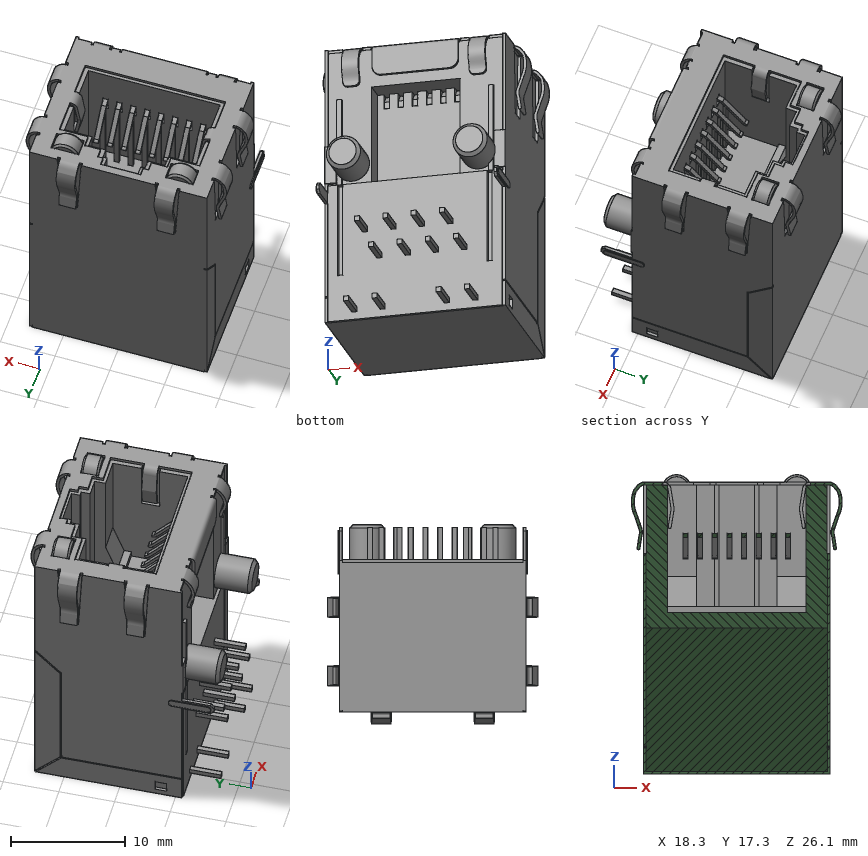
import cadquery as cq


HALF_WIDTH = 8.13
DEPTH = 13.0
HEIGHT = 25.4
SHEET = 0.25
INNER_HALF = HALF_WIDTH - SHEET
INNER_BACK = DEPTH - SHEET
INNER_TOP = HEIGHT - SHEET
SIDE_WALL_FRONT = -0.18
FRONT_FACE = -0.29
SPLIT_Z = 12.69
PIN_TIP = -3.07
SIDES = (-1, 1)

SHIELD_OPENING = [(6.4, 2.55), (6.4, 9.85), (3.78, 9.85), (3.78, 10.84),
                  (2.32, 10.84), (2.32, 11.65), (1.82, 11.65), (1.82, 12.35)]
SPRING_MID = HEIGHT - SHEET / 2
SPRING_ROOT_WIDTH = 1.77
SPRING_TIP_WIDTH = 1.5
SPRING_TIP_Z = 19.5
SPRING_REACH = 1.3
SIDE_SPRING_Y = (3.88, 9.85)
BACK_SPRING_X = 4.48
FRONT_SPRING_X = 5.7
FRONT_SPRING_WIDTH = 1.5
FRONT_SPRING_TIP = 21.73
TIP_ROUND = 0.47
SLOT_TOP_WIDTH = 2.15
SLOT_BOTTOM_WIDTH = 1.5
SLOT_BOTTOM = 19.17
RELIEF = 0.23
FRONT_BEND_Y = 0.1
FRONT_RELIEF = 0.15
INNER_SPRING_WIDTH = 1.3
INNER_SPRING_Y = 6.17
INNER_BEND = 0.57
FLAP_HALF = 3.88
FLAP_BOTTOM = 22.65
FLAP_ROUND = 0.83
TAB_INNER = 7.1
TAB_BOTTOM, TAB_TOP = 12.92, 16.35
LEG_Z = 11.57
LEG_WIDTH = 1.0
LEG_TIP_CHAMFER = 0.3
BEAD_WIDTH = 0.65
BEAD_BACK, BEAD_FRONT = 1.0, -2.81
BEAD_HEIGHT = 0.1
SEAM_GAP = 0.13
SEAM_Y = 10.65
SEAM_Z = 2.35
SEAM_SHOULDER = 12.75
SEAM_TOP = 15.0
LATCH_HOLE_Y, LATCH_HOLE_Z = 1.7, 0.96
LATCH_HOLE_LENGTH, LATCH_HOLE_HEIGHT = 1.05, 0.9

CAVITY = [(6.02, 2.85), (6.02, 9.55), (3.5, 9.55), (3.5, 10.55),
          (1.93, 10.55), (1.93, 11.35), (1.54, 11.35), (1.54, 12.15)]
CAVITY_HALF, CAVITY_FRONT = CAVITY[0]
KEYWAY_HALF, SHOULDER_Y = CAVITY[2]
SPRING_POCKET_WIDTH = 1.62
SPRING_POCKET_BOTTOM = 20.85
CAVITY_FLOOR = 14.07
LEDGE_Y = 7.9
LEDGE_HEIGHT = 0.52
RAMP_FOOT_Y = 8.55
RAMP_TOP = 17.2
WINDOW_HALF = 3.99
WINDOW_TOP = 21.65
WINDOW_DEPTH = 2.08
GAP_TOP = 13.55
GAP_DEPTH = 3.65
NOTCH_WIDTH = 0.5
NOTCH_BOTTOM = 20.35
POST_X, POST_Z = 5.7, 14.55
POST_RADIUS = 1.54
POST_TIP = -3.3
POST_CHAMFER = 0.3
RIB_INNER, RIB_OUTER = 6.62, 7.05
RIB_TOP = 20.65
LENS_X, LENS_Y = 5.24, 11.15
LENS_RADIUS = 1.25
LENS_LENGTH = 1.6
LENS_TOP = 26.05
LENS_CHAMFER = 0.18

GUIDE_INNER, GUIDE_OUTER = 6.5, 6.95
GUIDE_BOTTOM = 4.25
GUIDE_DEPTH = 0.52
WIRE_WIDTH = 0.45
WIRE_THICK = 0.25
PITCH = 1.28
CONTACTS = 8
CONTACT_X = [(i - (CONTACTS - 1) / 2) * PITCH for i in range(CONTACTS)]
CONTACT_LEG_TOP = 20.7
PIN_ROWS = [(8.28, [-3.5 * PITCH, -1.5 * PITCH, 0.5 * PITCH, 2.5 * PITCH]),
            (5.73, [-2.5 * PITCH, -0.5 * PITCH, 1.5 * PITCH, 3.5 * PITCH]),
            (0.9, [-5.45, -2.9, 2.9, 5.45])]


def block(x0, x1, y0, y1, z0, z1):
    """Box between two limits along each axis, given in either order."""
    size = (abs(x1 - x0), abs(y1 - y0), abs(z1 - z0))
    middle = ((x0 + x1) / 2, (y0 + y1) / 2, (z0 + z1) / 2)
    return cq.Workplane("XY").box(*size).translate(middle)


def both_sides(shape):
    """Shape together with its mirror image across X = 0."""
    return shape.union(shape.mirror("YZ"))


def opening_prism(half_outline, bottom, top):
    """Prism over a symmetric outline given by its right half."""
    left = [(-x, y) for x, y in reversed(half_outline)]
    outline = cq.Workplane("XY", origin=(0, 0, bottom)).polyline(half_outline + left).close()
    return outline.extrude(top - bottom)


def strip(path, width):
    """Sheet strip of the given width centred on Y = 0, following a path in the XZ plane."""
    return path.offset2D(SHEET / 2).extrude(width / 2, both=True)


def taper(top_width, bottom_width, bottom, x0, x1):
    """Block along X whose width in Y narrows from the top of the shield down."""
    outline = [(-top_width / 2, HEIGHT), (top_width / 2, HEIGHT),
               (bottom_width / 2, bottom), (-bottom_width / 2, bottom)]
    prism = cq.Workplane("YZ", origin=(x0, 0, 0)).polyline(outline).close()
    return prism.extrude(x1 - x0)



def outer_spring():
    """Side or back spring: bulges out, returns to the wall and ends in an outward lip."""
    path = (
        cq.Workplane("XZ")
        .moveTo(0, SPRING_MID)
        .threePointArc((0.29, 25.15), (0.5, 24.93))
        .lineTo(0.73, 24.65)
        .threePointArc((0.9, 23.7), (0.65, 22.5))
        .lineTo(0.3, 21.52)
        .threePointArc((0.2, 21.1), (0.25, 20.68))
        .lineTo(0.42, SPRING_TIP_Z + SHEET / 2)
    )
    sides = taper(SPRING_ROOT_WIDTH, SPRING_TIP_WIDTH, SPRING_TIP_Z, -SHEET, SPRING_REACH)
    return strip(path, SPRING_ROOT_WIDTH).intersect(sides)


def front_spring():
    """Short spring: bulges out and returns to the front, with a rounded tip."""
    path = (
        cq.Workplane("XZ")
        .moveTo(-FRONT_BEND_Y, SPRING_MID)
        .threePointArc((0.73, 24.12), (0.57, 22.82))
        .threePointArc((0.42, 22.35), (0.42, FRONT_SPRING_TIP))
    )
    half_width = FRONT_SPRING_WIDTH / 2
    outline = block(-SHEET, SPRING_REACH, -half_width, half_width, FRONT_SPRING_TIP, HEIGHT)
    outline = outline.edges("|X and <Z").fillet(TIP_ROUND)
    below_plate = block(-SHEET, 0, -half_width, half_width, FRONT_SPRING_TIP, INNER_TOP)
    return strip(path, FRONT_SPRING_WIDTH).intersect(outline).cut(below_plate)


def inner_spring():
    """Spring on the +X edge of the plug opening, reaching down into the cavity."""
    edge_x = SHIELD_OPENING[0][0]
    path = (
        cq.Workplane("XZ")
        .moveTo(edge_x, SPRING_MID)
        .radiusArc((edge_x - INNER_BEND, SPRING_MID - INNER_BEND), -INNER_BEND)
        .lineTo(5.57, 23.05)
        .lineTo(5.84, 21.5)
    )
    return strip(path, INNER_SPRING_WIDTH).translate((0, INNER_SPRING_Y, 0))


def reliefs(root_width, relief_width):
    """Cutters for the two bend reliefs of a root that is root_width wide."""
    first = root_width / 2
    right = block(-RELIEF, 0, first, first + relief_width, INNER_TOP, HEIGHT)
    return right.union(right.mirror("XZ"))


def front_root(root_width):
    """Cutter for a front bend: the sheet ahead of the bend line, and the reliefs."""
    ahead = block(-FRONT_BEND_Y, 0, -root_width / 2, root_width / 2, INNER_TOP, HEIGHT)
    return ahead.union(reliefs(root_width, FRONT_RELIEF))


def placed(shape, x, y, turn):
    """Shape turned about Z so that +X points outward, then moved to its wall."""
    return shape.rotate((0, 0, 0), (0, 0, 1), turn).translate((x, y, 0))


def outer_spring_places():
    sides = [(side * HALF_WIDTH, y, 0 if side > 0 else 180) for side in SIDES for y in SIDE_SPRING_Y]
    back = [(side * BACK_SPRING_X, DEPTH, 90) for side in SIDES]
    return sides + back


def front_spring_places():
    return [(side * FRONT_SPRING_X, 0, -90) for side in SIDES]


def flap():
    """Rounded flap bent down from the front edge of the top plate."""
    outer_radius = FRONT_BEND_Y - FRONT_FACE
    inner_radius = outer_radius - SHEET
    bend_z = HEIGHT - outer_radius
    section = (
        cq.Workplane("YZ")
        .moveTo(FRONT_BEND_Y, HEIGHT)
        .radiusArc((FRONT_FACE, bend_z), -outer_radius)
        .lineTo(FRONT_FACE, FLAP_BOTTOM)
        .lineTo(FRONT_FACE + SHEET, FLAP_BOTTOM)
        .lineTo(FRONT_FACE + SHEET, bend_z)
        .radiusArc((FRONT_BEND_Y, INNER_TOP), inner_radius)
        .close()
        .extrude(FLAP_HALF, both=True)
    )
    return section.edges("|Y and <Z").fillet(FLAP_ROUND)


def front_tab():
    """Tab bent from the +X wall across the front of the housing, cut away around the post."""
    tab = block(TAB_INNER, HALF_WIDTH, FRONT_FACE, 0, TAB_BOTTOM, TAB_TOP)
    return tab.cut(locating_post())


def ground_leg():
    """Solder leg of the +X wall with its raised bead."""
    leg = block(INNER_HALF, HALF_WIDTH, PIN_TIP, 0, LEG_Z - LEG_WIDTH / 2, LEG_Z + LEG_WIDTH / 2)
    leg = leg.edges("|X and <Y").chamfer(LEG_TIP_CHAMFER)
    bead = (
        cq.Workplane("YZ", origin=(INNER_HALF, (BEAD_BACK + BEAD_FRONT) / 2, LEG_Z))
        .slot2D(BEAD_BACK - BEAD_FRONT, BEAD_WIDTH)
        .extrude(SHEET + BEAD_HEIGHT)
    )
    return leg.union(bead)


def wall_seams():
    """Cutter for the narrow gaps between the +X wall and the side flaps of the back and bottom."""
    plane = cq.Workplane("YZ", origin=(INNER_HALF, 0, 0))
    back_seam = plane.polyline([(DEPTH, SEAM_TOP), (SEAM_Y, SEAM_SHOULDER), (SEAM_Y, SEAM_Z), (DEPTH, 0)])
    back_seam = back_seam.wire().offset2D(SEAM_GAP / 2).extrude(SHEET)
    bottom_seam = block(INNER_HALF, HALF_WIDTH, SIDE_WALL_FRONT, SEAM_Y,
                        SEAM_Z - SEAM_GAP / 2, SEAM_Z + SEAM_GAP / 2)
    return back_seam.union(bottom_seam)


def latch_hole():
    return block(INNER_HALF, HALF_WIDTH,
                 LATCH_HOLE_Y - LATCH_HOLE_LENGTH / 2, LATCH_HOLE_Y + LATCH_HOLE_LENGTH / 2,
                 LATCH_HOLE_Z - LATCH_HOLE_HEIGHT / 2, LATCH_HOLE_Z + LATCH_HOLE_HEIGHT / 2)


def make_shield():
    shield = block(-HALF_WIDTH, HALF_WIDTH, 0, DEPTH, 0, HEIGHT)
    shield = shield.cut(block(-INNER_HALF, INNER_HALF, 0, INNER_BACK, SHEET, INNER_TOP))
    wall_front = block(INNER_HALF, HALF_WIDTH, SIDE_WALL_FRONT, 0, 0, HEIGHT)
    shield = shield.union(both_sides(wall_front))

    shield = shield.cut(opening_prism(SHIELD_OPENING, INNER_TOP, HEIGHT))
    lens_hole = block(LENS_X - LENS_RADIUS, LENS_X + LENS_RADIUS,
                      LENS_Y - LENS_LENGTH / 2, LENS_Y + LENS_LENGTH / 2, INNER_TOP, HEIGHT)
    shield = shield.cut(both_sides(lens_hole))
    shield = shield.cut(both_sides(wall_seams().union(latch_hole())))

    slot = taper(SLOT_TOP_WIDTH, SLOT_BOTTOM_WIDTH, SLOT_BOTTOM, -SHEET, 0)
    slot = slot.cut(block(-SHEET, 0, -SLOT_TOP_WIDTH, SLOT_TOP_WIDTH, INNER_TOP, HEIGHT))
    slot = slot.union(reliefs(SPRING_ROOT_WIDTH, RELIEF))
    for place in outer_spring_places():
        shield = shield.cut(placed(slot, *place)).union(placed(outer_spring(), *place))
    for place in front_spring_places():
        shield = shield.cut(placed(front_root(FRONT_SPRING_WIDTH), *place))
        shield = shield.union(placed(front_spring(), *place))
    shield = shield.cut(placed(front_root(2 * FLAP_HALF), 0, 0, -90)).union(flap())

    for feature in (inner_spring(), front_tab(), ground_leg()):
        shield = shield.union(both_sides(feature))
    return shield


def shoulder_ramp():
    """Ramp at the foot of the +X shoulder of the cavity."""
    foot = CAVITY_FLOOR + LEDGE_HEIGHT
    outline = [(SHOULDER_Y, RAMP_TOP), (RAMP_FOOT_Y, foot), (SHOULDER_Y, foot)]
    ramp = cq.Workplane("YZ", origin=(KEYWAY_HALF, 0, 0)).polyline(outline).close()
    return ramp.extrude(CAVITY_HALF - KEYWAY_HALF)


def locating_post():
    post = cq.Workplane("XZ", origin=(POST_X, 0, POST_Z)).circle(POST_RADIUS).extrude(-POST_TIP)
    return post.faces("<Y").chamfer(POST_CHAMFER)


def lens():
    """Indicator lens: a cylinder along Y, half sunk into the housing."""
    cylinder = cq.Workplane("XZ", origin=(LENS_X, LENS_Y, LENS_TOP - LENS_RADIUS)).circle(LENS_RADIUS)
    return cylinder.extrude(LENS_LENGTH / 2, both=True).faces("<Y or >Y").chamfer(LENS_CHAMFER)


def make_housing():
    housing = block(-INNER_HALF, INNER_HALF, 0, INNER_BACK, SPLIT_Z, INNER_TOP)
    housing = housing.union(both_sides(lens()))
    housing = housing.cut(opening_prism(CAVITY, CAVITY_FLOOR, INNER_TOP))
    ledge = opening_prism(CAVITY, CAVITY_FLOOR, CAVITY_FLOOR + LEDGE_HEIGHT)
    ledge = ledge.intersect(block(-INNER_HALF, INNER_HALF, LEDGE_Y, INNER_BACK, SPLIT_Z, INNER_TOP))
    housing = housing.union(ledge).union(both_sides(shoulder_ramp()))

    pocket = block(CAVITY_HALF, SHIELD_OPENING[0][0],
                   INNER_SPRING_Y - SPRING_POCKET_WIDTH / 2, INNER_SPRING_Y + SPRING_POCKET_WIDTH / 2,
                   SPRING_POCKET_BOTTOM, INNER_TOP)
    housing = housing.cut(both_sides(pocket))

    housing = housing.cut(block(-FLAP_HALF, FLAP_HALF, 0, FRONT_BEND_Y, INNER_TOP - FRONT_BEND_Y, INNER_TOP))

    housing = housing.cut(block(-WINDOW_HALF, WINDOW_HALF, 0, WINDOW_DEPTH, SPLIT_Z, WINDOW_TOP))
    housing = housing.cut(block(-WINDOW_HALF, WINDOW_HALF, 0, GAP_DEPTH, SPLIT_Z, GAP_TOP))

    for x in CONTACT_X:
        hole = block(x - WIRE_WIDTH / 2, x + WIRE_WIDTH / 2,
                     GAP_DEPTH - WIRE_THICK, GAP_DEPTH, SPLIT_Z, CAVITY_FLOOR)
        notch = block(x - NOTCH_WIDTH / 2, x + NOTCH_WIDTH / 2,
                      WINDOW_DEPTH, CAVITY_FRONT, NOTCH_BOTTOM, WINDOW_TOP)
        housing = housing.cut(hole.union(notch))

    rib = block(RIB_INNER, RIB_OUTER, FRONT_FACE, 0, SPLIT_Z, RIB_TOP)
    return housing.union(both_sides(rib)).union(both_sides(locating_post()))


def contact(x):
    """Contact: a leg up through the cavity floor, carrying a wire from the panel notch into the cavity."""
    path = cq.Workplane("YZ", origin=(x, 0, 0)).polyline([
        (2.35, NOTCH_BOTTOM), (2.35, 20.95), (2.7, 21.45), (3.25, 21.2), (5.31, 18.9), (5.5, 18.85)])
    wire = path.wire().offset2D(WIRE_THICK / 2, "intersection").extrude(WIRE_WIDTH / 2, both=True)
    wire = wire.cut(block(x - WIRE_WIDTH, x + WIRE_WIDTH, 0, CAVITY_FRONT, SPLIT_Z, NOTCH_BOTTOM))
    leg = block(x - WIRE_WIDTH / 2, x + WIRE_WIDTH / 2,
                GAP_DEPTH - WIRE_THICK, GAP_DEPTH, SPLIT_Z, CONTACT_LEG_TOP)
    return wire.union(leg)


def pin(x, z):
    half = WIRE_WIDTH / 2
    return block(x - half, x + half, PIN_TIP, FRONT_FACE, z - half, z + half)


def make_insert():
    insert = block(-INNER_HALF, INNER_HALF, 0, INNER_BACK, SHEET, SPLIT_Z)
    front_lip = block(-INNER_HALF, INNER_HALF, FRONT_FACE, 0, 0, SPLIT_Z)
    insert = insert.union(front_lip)
    guide = block(GUIDE_INNER, GUIDE_OUTER, FRONT_FACE, FRONT_FACE + GUIDE_DEPTH, GUIDE_BOTTOM, SPLIT_Z)
    insert = insert.cut(both_sides(guide))
    for x in CONTACT_X:
        insert = insert.union(contact(x))
    for z, xs in PIN_ROWS:
        for x in xs:
            insert = insert.union(pin(x, z))
    return insert


shield = make_shield()
housing = make_housing()
insert = make_insert()
result = cq.Compound.makeCompound([shield.val(), housing.val(), insert.val()])